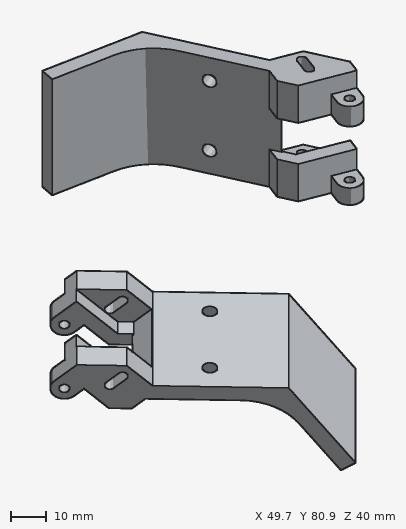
import cadquery as cq
import math

height = 40.0
depth = 80.9

plate_thickness = 5.0
leg_lean = math.radians(10)
elbow_y = 33.4
elbow_fillet_radius = 20.0
arm_end_y = 60.9

screw_hole_diameter = 4.2
screw_hole_x = 15.7
screw_hole_z = 8.0

lug_left = 27.1
lug_right = 41.85
lug_thickness = 7.85
lug_top_chamfer = 9.95
lug_bottom_y = 58.35
lug_bottom_chamfer = 4.5
block_thickness = 12.95
lip_left = 37.2
lip_bend_y = 64.1
slot_length = 7.9
slot_width = 3.0
slot_x = 33.2
slot_y = 68.95

hinge_x = 45.7
hinge_radius = 4.0
pin_hole_diameter = 3.0
lower_tab_height = 5.9
upper_tab_height = 7.0

leg_run = elbow_y * math.tan(leg_lean)
inner_arm_rise = elbow_y - plate_thickness * math.sqrt(2)
leg_width_x = plate_thickness / math.cos(leg_lean)
inner_elbow_x = (elbow_y - inner_arm_rise + leg_width_x / math.tan(leg_lean)) / (
    1 + 1 / math.tan(leg_lean)
)
inner_elbow_y = inner_elbow_x + inner_arm_rise
hinge_y = depth - hinge_radius


def prism(points, bottom, top):
    """Straight prism over a plan outline between two heights."""
    return cq.Workplane("XY").workplane(offset=bottom).polyline(points).close().extrude(top - bottom)


def bent_plate():
    plate = prism(
        [
            (leg_run, 0),
            (
                leg_run + plate_thickness * math.cos(leg_lean),
                plate_thickness * math.sin(leg_lean),
            ),
            (inner_elbow_x, inner_elbow_y),
            (arm_end_y - inner_arm_rise, arm_end_y),
            (lug_left, arm_end_y),
            (lug_left, elbow_y + lug_left),
            (0, elbow_y),
        ],
        0,
        height,
    )
    inner_elbow = cq.selectors.NearestToPointSelector((inner_elbow_x, inner_elbow_y, height / 2))
    plate = plate.edges("|Z").edges(inner_elbow).fillet(elbow_fillet_radius)
    for z in (screw_hole_z, height - screw_hole_z):
        axis = cq.Plane(
            origin=(screw_hole_x, screw_hole_x + elbow_y, z),
            xDir=(0, 0, 1),
            normal=(1, -1, 0),
        )
        drill = cq.Workplane(axis).circle(screw_hole_diameter / 2).extrude(2 * plate_thickness, both=True)
        plate = plate.cut(drill)
    return plate


def right_edge():
    """Right-hand outline shared by the lug and its lip, from the back to the arm."""
    return [
        (lug_right, depth),
        (lug_right, lug_bottom_y + lug_bottom_chamfer),
        (lug_right - lug_bottom_chamfer, lug_bottom_y),
        (lug_bottom_y - inner_arm_rise, lug_bottom_y),
    ]


def slotted_lug(bottom):
    top = bottom + lug_thickness
    outline = right_edge() + [
        (lug_left, elbow_y + lug_left),
        (lug_left, depth - lug_top_chamfer),
        (lug_left + lug_top_chamfer, depth),
    ]
    slot = (
        cq.Workplane("XY")
        .workplane(offset=bottom)
        .center(slot_x, slot_y)
        .slot2D(slot_length, slot_width)
        .extrude(lug_thickness)
    )
    return prism(outline, bottom, top).cut(slot)


def lip(bottom, top):
    outline = right_edge() + [
        (lip_left - (lip_bend_y - arm_end_y), arm_end_y),
        (lip_left, lip_bend_y),
        (lip_left, depth),
    ]
    return prism(outline, bottom, top)


def hinge_tab(bottom, tab_height):
    base = cq.Workplane("XY").workplane(offset=bottom)
    bar_length = hinge_x - lug_right
    bar = (
        base.center(lug_right + bar_length / 2, hinge_y)
        .rect(bar_length, 2 * hinge_radius)
        .extrude(tab_height)
    )
    eye = base.center(hinge_x, hinge_y).circle(hinge_radius).extrude(tab_height)
    pin_hole = base.center(hinge_x, hinge_y).circle(pin_hole_diameter / 2).extrude(tab_height)
    return bar.union(eye).cut(pin_hole)


upper_block_bottom = height - block_thickness

result = (
    bent_plate()
    .union(slotted_lug(0))
    .union(lip(lug_thickness, block_thickness))
    .union(hinge_tab(0, lower_tab_height))
    .union(slotted_lug(height - lug_thickness))
    .union(lip(upper_block_bottom, height - lug_thickness))
    .union(hinge_tab(upper_block_bottom, upper_tab_height))
)